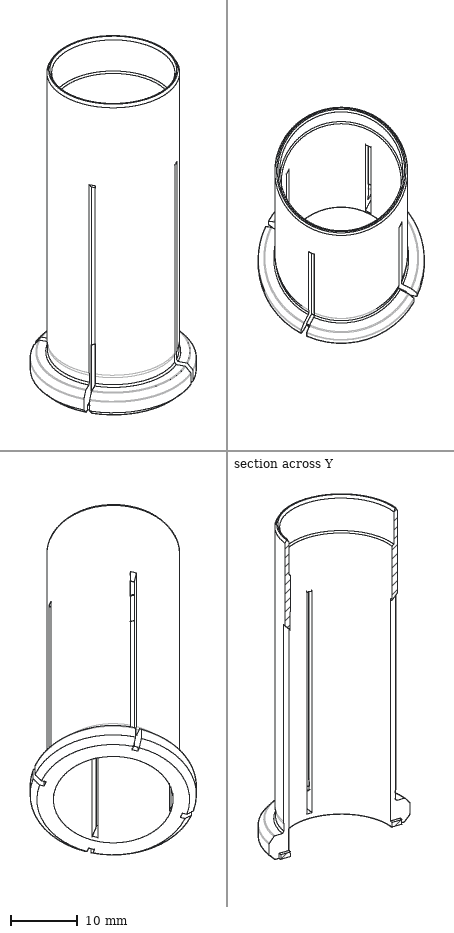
import cadquery as cq

length = 54.0
tube_radius = 20.0 / 2
bore_radius = 18.0 / 2
mouth_radius = 18.5 / 2
mouth_depth = 6.0
mouth_chamfer_width = 0.25
mouth_step = mouth_radius - bore_radius
rim_chamfer_width = 0.25
rim_chamfer_height = 0.5

flange_radius = 25.0 / 2
flange_height = 4.05
flange_chamfer = 1.0
shoulder_width = 0.9
shoulder_height = 1.1
shoulder_round = 0.2
groove_radius = 9.9
groove_bottom = 4.4
groove_top = 5.6
groove_end = 6.1
groove_base_radius = 10.15

slot_width = 0.9
slot_top = 39.5
slot_count = 4
foot_ring_radius = 10.75
foot_ring_height = 0.85
overrun = 0.55


def make_body():
    """Revolve the wall section of the flanged sleeve about Z."""
    section = [
        (bore_radius, 0),
        (flange_radius - flange_chamfer, 0),
        (flange_radius, flange_chamfer),
        (flange_radius, flange_height - shoulder_height),
        (flange_radius - shoulder_width, flange_height),
        (groove_base_radius, flange_height),
        (groove_radius, groove_bottom),
        (groove_radius, groove_top),
        (tube_radius, groove_end),
        (tube_radius, length - rim_chamfer_height),
        (tube_radius - rim_chamfer_width, length),
        (mouth_radius + mouth_chamfer_width, length),
        (mouth_radius, length - rim_chamfer_height),
        (mouth_radius, length - mouth_depth),
        (bore_radius, length - mouth_depth - mouth_step),
    ]
    body = cq.Workplane("XZ").polyline(section).close().revolve(360, (0, 0), (0, 1))
    shoulder_middle = (0, 0, flange_height - shoulder_height / 2)
    shoulder = body.faces(cq.selectors.NearestToPointSelector(shoulder_middle))
    return shoulder.edges("%CIRCLE").fillet(shoulder_round)


def make_slot():
    """Radial slot whose upper end slopes at 45 degrees through the wall."""
    inner = bore_radius - overrun
    outer = flange_radius + overrun
    section = [
        (inner, foot_ring_height),
        (foot_ring_radius, foot_ring_height),
        (foot_ring_radius, -overrun),
        (outer, -overrun),
        (outer, slot_top + outer - tube_radius),
        (inner, slot_top + inner - tube_radius),
    ]
    return cq.Workplane("XZ").polyline(section).close().extrude(slot_width / 2, both=True)


result = make_body()
slot = make_slot()
for index in range(slot_count):
    angle = index * 360 / slot_count
    result = result.cut(slot.rotate((0, 0, 0), (0, 0, 1), angle))